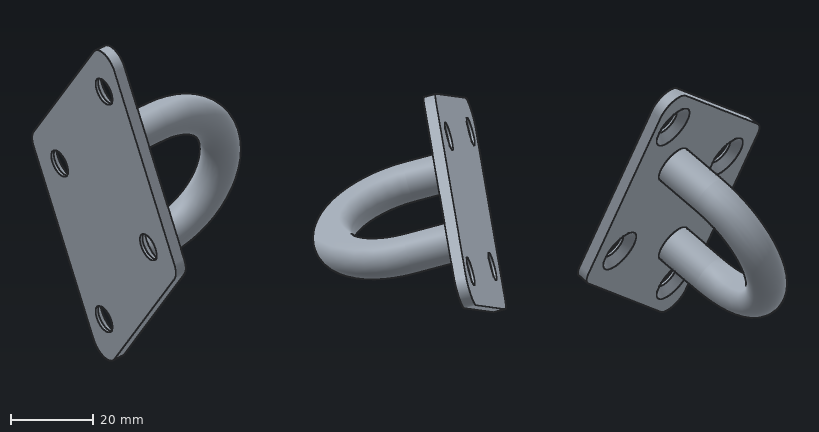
import cadquery as cq

plate_width = 60.0
plate_height = 100.0
plate_thickness = 3.0
corner_radius = 5.0

hole_diameter = 7.0
hole_land = 0.8
hole_offset_x = 18.5
hole_offset_z = 37.5

total_depth = 39.8
bar_diameter = 10.0
bend_radius = 19.3
leg_end_y = total_depth - bar_diameter / 2 - bend_radius


def make_plate():
    """Diamond with rounded corners: the hull of four equal corner circles."""
    center_x = plate_width / 2 - corner_radius
    center_z = plate_height / 2 - corner_radius
    corner_centers = [(center_x, 0), (0, center_z), (-center_x, 0), (0, -center_z)]
    core = cq.Workplane("XZ").polyline(corner_centers).close()
    return core.offset2D(corner_radius).extrude(-plate_thickness)


def make_holes():
    """Cutters for the four mounting holes, each flaring to a cone at the staple side."""
    hole_centers = [
        (hole_offset_x, 0),
        (-hole_offset_x, 0),
        (0, hole_offset_z),
        (0, -hole_offset_z),
    ]
    hole_radius = hole_diameter / 2
    sink_radius = hole_radius + plate_thickness - hole_land
    cutter = (
        cq.Workplane("XY")
        .polyline(
            [
                (0, 0),
                (hole_radius, 0),
                (hole_radius, hole_land),
                (sink_radius, plate_thickness),
                (0, plate_thickness),
            ]
        )
        .close()
        .revolve(360, (0, 0), (0, 1))
    )
    holes = cq.Workplane("XY")
    for x, z in hole_centers:
        holes = holes.add(cutter.translate((x, 0, z)))
    return holes.combine()


def make_staple():
    """Two straight legs joined by a half-circle bend."""
    path = (
        cq.Workplane("YZ")
        .moveTo(0, -bend_radius)
        .lineTo(leg_end_y, -bend_radius)
        .threePointArc((leg_end_y + bend_radius, 0), (leg_end_y, bend_radius))
        .lineTo(0, bend_radius)
    )
    section = cq.Workplane("XZ").center(0, -bend_radius).circle(bar_diameter / 2)
    return section.sweep(path)


result = make_plate().cut(make_holes()).union(make_staple())